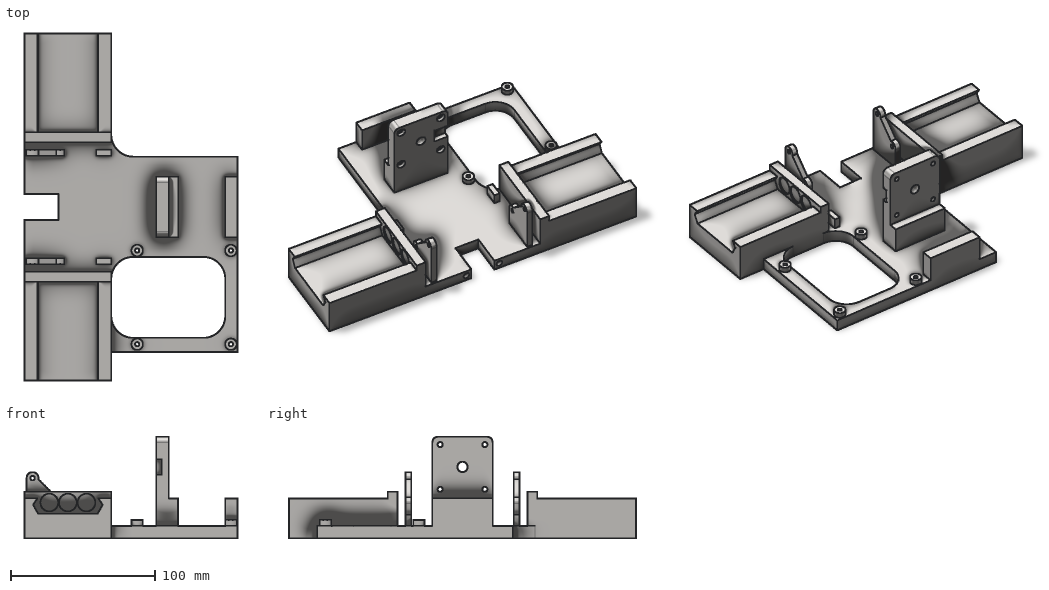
import cadquery as cq


LENGTH_X = 148.0
LENGTH_Y = 241.0
BASE_T = 8.7
PLATE_Y_MIN = -100.7
PLATE_Y_MAX = 35.0
ARM_W = 60.4
CORNER_R = 15.0

NOTCH_DEPTH = 23.7
NOTCH_W = 18.0
EDGE_HOLE_D = 4.4
EDGE_HOLE_Y = 13.0
EDGE_HOLE_DEPTH = 20.0

FRAME_W = 8.7
WINDOW_Y_MIN = -90.7
WINDOW_Y_MAX = -34.7
STANDOFF_D = 8.0
STANDOFF_HOLE_D = 2.8
STANDOFF_H = 4.0
STANDOFF_PITCH = 65.0
STANDOFF_CENTER = (110.8, -62.7)

TRAY_H = 27.7
TRAY_FLOOR_Z = 17.2
WAIST_Z = 23.2
FLOOR_EDGE_X = 9.5
WAIST_EDGE_X = 6.1
TOP_EDGE_X = 9.0
WALL_Y_INNER = 45.0
WALL_T = 7.0
WALL_TOP_Z = 32.4
RECESS_D = 12.3
RECESS_PITCH = 12.9
RECESS_Z = 24.8
RECESS_DEPTH = 1.0

LUG_Y_INNER = 35.5
LUG_T = 4.2
LUG_R = 4.2
LUG_HOLE_D = 3.0
LUG_UPPER_HOLE = (5.7, 41.8)
LUG_LOWER_HOLE = (23.5, 24.4)
LUG_SLOPE_OFFSET = 3.2
BLOCK_L = 10.5
BLOCK_H = 7.7

MOTOR_SIZE = 42.0
POST_X = 91.5
POST_T = 8.8
POST_TOP_Z = 70.5
POST_CORNER_R = 4.0
FOOT_T = 15.2
MOTOR_Z = POST_TOP_Z - MOTOR_SIZE / 2
SHAFT_HOLE_D = 7.0
SCREW_PITCH = 31.0
SCREW_HOLE_D = 3.4
SCREW_HEAD_D = 6.0
SCREW_HEAD_DEPTH = 3.0
POCKET_DEPTH = 4.0
POCKET_L = 10.5
POCKET_H = 10.5

STOP_T = FRAME_W


def box(x0, x1, y0, y1, z0, z1):
    """Box spanning the given corner coordinates."""
    return cq.Workplane("XY").box(x1 - x0, y1 - y0, z1 - z0, centered=False).translate((x0, y0, z0))


def x_cylinder(x0, length, y, z, diameter):
    """Cylinder along +X."""
    return cq.Workplane("YZ", origin=(x0, y, z)).circle(diameter / 2).extrude(length)


def y_cylinder(x, y0, length, z, diameter):
    """Cylinder along +Y."""
    return cq.Workplane("XZ", origin=(x, y0, z)).circle(diameter / 2).extrude(-length)


def base_plate():
    half = LENGTH_Y / 2
    arms = box(0, ARM_W, -half, half, 0, BASE_T)
    plate = box(0, LENGTH_X, PLATE_Y_MIN, PLATE_Y_MAX, 0, BASE_T)
    base = arms.union(plate)
    inner_corner = cq.selectors.NearestToPointSelector((ARM_W, PLATE_Y_MAX, BASE_T / 2))
    base = base.edges(inner_corner).fillet(CORNER_R)
    window = box(ARM_W, LENGTH_X - FRAME_W, WINDOW_Y_MIN, WINDOW_Y_MAX, 0, BASE_T)
    base = base.cut(window.edges("|Z").fillet(CORNER_R))
    base = base.cut(box(0, NOTCH_DEPTH, -NOTCH_W / 2, NOTCH_W / 2, 0, BASE_T))
    for side in (-1, 1):
        base = base.cut(x_cylinder(0, EDGE_HOLE_DEPTH, side * EDGE_HOLE_Y, BASE_T / 2, EDGE_HOLE_D))
    return base


def add_standoffs(body):
    pattern = cq.Workplane("XY").center(*STANDOFF_CENTER).rarray(STANDOFF_PITCH, STANDOFF_PITCH, 2, 2)
    height = BASE_T + STANDOFF_H
    return body.union(pattern.circle(STANDOFF_D / 2).extrude(height)).cut(
        pattern.circle(STANDOFF_HOLE_D / 2).extrude(height)
    )


def tray():
    """Tray on the +Y arm, open at its far end and closed by the wall at its inner end."""
    wall_y_outer = WALL_Y_INNER + WALL_T
    y_end = LENGTH_Y / 2
    body = box(0, ARM_W, WALL_Y_INNER, y_end, BASE_T, TRAY_H)
    channel = (
        cq.Workplane("XZ", origin=(0, wall_y_outer, 0))
        .moveTo(FLOOR_EDGE_X, TRAY_FLOOR_Z)
        .lineTo(WAIST_EDGE_X, WAIST_Z)
        .lineTo(TOP_EDGE_X, TRAY_H)
        .lineTo(ARM_W - TOP_EDGE_X, TRAY_H)
        .lineTo(ARM_W - WAIST_EDGE_X, WAIST_Z)
        .lineTo(ARM_W - FLOOR_EDGE_X, TRAY_FLOOR_Z)
        .close()
        .extrude(wall_y_outer - y_end)
    )
    body = body.cut(channel)
    body = body.union(box(0, ARM_W, WALL_Y_INNER, wall_y_outer, BASE_T, WALL_TOP_Z))
    for step in (-1, 0, 1):
        x = ARM_W / 2 + step * RECESS_PITCH
        body = body.cut(y_cylinder(x, wall_y_outer - RECESS_DEPTH, RECESS_DEPTH, RECESS_Z, RECESS_D))
    return body


def lug():
    """Lug on the +Y side: a plate with a 45 degree top edge and a rounded eye at each end of it."""
    upper_x, upper_z = LUG_UPPER_HOLE
    lower_x, lower_z = LUG_LOWER_HOLE
    x_min = upper_x - LUG_R
    x_max = lower_x + LUG_R
    slope_sum = upper_x + upper_z + LUG_SLOPE_OFFSET
    body = (
        cq.Workplane("XZ", origin=(0, LUG_Y_INNER, 0))
        .moveTo(x_min, BASE_T)
        .lineTo(x_max, BASE_T)
        .lineTo(x_max, lower_z)
        .lineTo(slope_sum - lower_z, lower_z)
        .lineTo(slope_sum - upper_z, upper_z)
        .lineTo(x_min, upper_z)
        .close()
        .extrude(-LUG_T)
    )
    for x, z in (LUG_UPPER_HOLE, LUG_LOWER_HOLE):
        body = body.union(y_cylinder(x, LUG_Y_INNER, LUG_T, z, 2 * LUG_R))
    for x, z in (LUG_UPPER_HOLE, LUG_LOWER_HOLE):
        body = body.cut(y_cylinder(x, LUG_Y_INNER, LUG_T, z, LUG_HOLE_D))
    return body


def lug_block():
    """Small block on the +Y side, in line with the lug."""
    return box(ARM_W - BLOCK_L, ARM_W, LUG_Y_INNER, LUG_Y_INNER + LUG_T, BASE_T, BASE_T + BLOCK_H)


def motor_post():
    half = MOTOR_SIZE / 2
    post = box(POST_X, POST_X + POST_T, -half, half, BASE_T, POST_TOP_Z)
    post = post.edges("|X and >Z").fillet(POST_CORNER_R)
    post = post.union(box(POST_X, POST_X + FOOT_T, -half, half, BASE_T, TRAY_H))
    post = post.cut(x_cylinder(POST_X, POST_T, 0, MOTOR_Z, SHAFT_HOLE_D))
    for side_y in (-1, 1):
        for side_z in (-1, 1):
            y = side_y * SCREW_PITCH / 2
            z = MOTOR_Z + side_z * SCREW_PITCH / 2
            post = post.cut(x_cylinder(POST_X, POST_T, y, z, SCREW_HOLE_D))
            post = post.cut(x_cylinder(POST_X, SCREW_HEAD_DEPTH, y, z, SCREW_HEAD_D))
    pocket = box(
        POST_X,
        POST_X + POCKET_DEPTH,
        -half,
        POCKET_L - half,
        MOTOR_Z - POCKET_H / 2,
        MOTOR_Z + POCKET_H / 2,
    )
    return post.cut(pocket)


def stop_bar():
    half = MOTOR_SIZE / 2
    return box(LENGTH_X - STOP_T, LENGTH_X, -half, half, BASE_T, TRAY_H)


result = add_standoffs(base_plate())
for feature in (tray(), lug(), lug_block()):
    result = result.union(feature).union(feature.mirror("XZ"))
result = result.union(motor_post()).union(stop_bar())